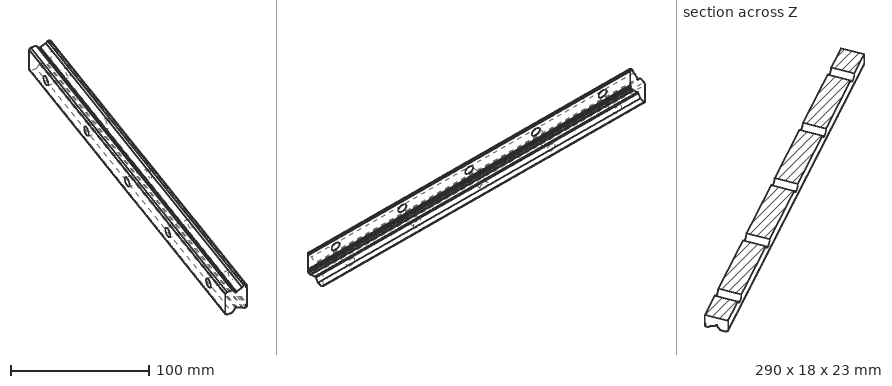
import cadquery as cq

length = 290.0
width = 18.0
height = 23.0

hole_diameter = 7.2
hole_pitch = 60.0
hole_count = 5

edge_chamfer = 1.5

groove_root_z = 8.0
relief_floor_z = 7.2
groove_root_front_y = -0.5
groove_root_back_y = 0.3
groove_front_y = -3.2
groove_knee_y = 5.0
groove_knee_z = 10.2
groove_back_y = 6.5

lip_chamfer = 1.0
notch_depth = 1.0
notch_upper_z = 10.0
notch_bottom_z = 9.0
notch_lower_z = 8.0

half_width = width / 2
half_height = height / 2


def rail_profile():
    """Return the (y, z) outline, symmetric about z = 0."""
    upper = [
        (-half_width, half_height - edge_chamfer),
        (-half_width + edge_chamfer, half_height),
        (groove_front_y, half_height),
        (groove_root_front_y, groove_root_z),
        (groove_root_front_y, relief_floor_z),
        (groove_root_back_y, relief_floor_z),
        (groove_root_back_y, groove_root_z),
        (groove_knee_y, groove_knee_z),
        (groove_back_y, half_height),
        (half_width - lip_chamfer, half_height),
        (half_width, half_height - lip_chamfer),
        (half_width, notch_upper_z),
        (half_width - notch_depth, notch_bottom_z),
        (half_width, notch_lower_z),
    ]
    lower = [(y, -z) for y, z in reversed(upper)]
    return upper + lower


def make_rail():
    """Extrude the outline along the full length."""
    profile = cq.Workplane("YZ").polyline(rail_profile()).close()
    return profile.extrude(length / 2, both=True)


def make_holes():
    """Return the row of cylinders that cut the mounting holes."""
    row = cq.Workplane("XZ").rarray(hole_pitch, 3, hole_count, 1)
    return row.circle(hole_diameter / 2).extrude(half_width, both=True)


result = make_rail().cut(make_holes())